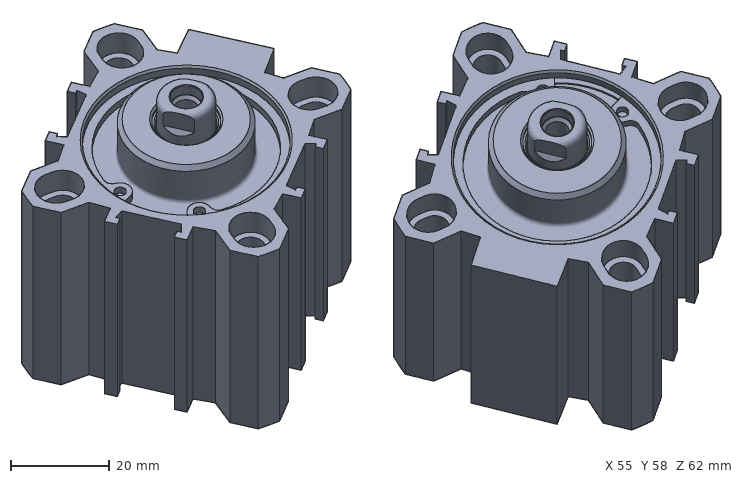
import cadquery as cq
import math

TOTAL_HEIGHT = 62.0
HOUSING_HEIGHT = 49.55

WIDTH = 55.0
DEPTH = 58.0
HALF_WIDTH = WIDTH / 2
POST_ROUND_DIA = 73.0
POST_FACE_INNER = 18.0
WALL_AT_POST = 23.0
WALL_AT_RIB = 23.3
POST_FOOT = POST_FACE_INNER - (HALF_WIDTH - WALL_AT_POST)
RIB_TIP = 27.3
RIB_OUTER_SIDE = 8.8
RIB_LIP = 6.1
RIB_LIP_ROOT = 25.5
RIB_NECK_AT_LIP = 6.95
RIB_NECK_AT_WALL = 6.3
PORT_BLOCK_FACE = DEPTH - HALF_WIDTH
PORT_BLOCK_HALF_TOP = 9.1
PORT_BLOCK_HALF_ROOT = 9.3

MOUNT_OFFSET = 20.5
MOUNT_STRETCH = 1.4
MOUNT_HOLE_DIA = 6.0
MOUNT_BORE_DIA = 8.8
MOUNT_BORE_DEPTH = 5.75

BORE_DIA = 42.2
BORE_CHAMFER = 0.45
FLANGE_DEPTH = 3.95
FLANGE_THICKNESS = 9.9
FLANGE_TOP = HOUSING_HEIGHT - FLANGE_DEPTH
SEAT_Z = FLANGE_TOP - FLANGE_THICKNESS

FLANGE_DIA = 41.7
COLLAR_DIA = 28.0
COLLAR_RISE = 6.0
COLLAR_CHAMFER = 1.0
COLLAR_FILLET = 0.85
COVER_BORE_DIA = 12.5
MOUTH_DIA = 14.0
MOUTH_DEPTH = 1.0
MOUTH_CHAMFER = 0.45
LIP_CHAMFER = 0.3
COLLAR_TOP = HOUSING_HEIGHT + COLLAR_RISE

RING_DIA = 44.7
RING_INNER_RADIUS = 19.15
RING_THICKNESS = 1.75
LUG_RADIUS = 2.5
LUG_HOLE_DIA = 2.5
LUG_CENTRE_RADIUS = 18.35
LUG_HALF_ANGLE = 27.7
LUG_BLEND = 2.0
RING_TURN = -1.8

ROD_DIA = 12.0
ROD_FILLET = 1.35
FLATS_WIDTH = 10.0
FLATS_LENGTH = 4.45
TAP_DIA = 4.9
TAP_DEPTH = 9.9
TAP_FLOOR_ANGLE = 170.0
RECESS_DIA = 6.6
STEP_DIA = 6.25
RECESS_DEPTH = 2.6
RECESS_CHAMFER = 0.2


def disc(diameter, bottom, height):
    return cq.Workplane("XY").workplane(offset=bottom).circle(diameter / 2).extrude(height)


def revolved(half_profile):
    """Turn a closed (radius, height) profile around the Z axis."""
    return cq.Workplane("XZ").polyline(half_profile).close().revolve(360, (0, 0, 0), (0, 1, 0))


def mirrored(points):
    """Add the mirror image across the vertical axis, keeping the point order."""
    return points + [(-x, y) for x, y in reversed(points)]


def ribbed_side():
    """Wall of the -Y side with its two hooked ribs, from -X to +X."""
    left_half = [
        (-POST_FOOT, -WALL_AT_POST),
        (-RIB_OUTER_SIDE, -WALL_AT_RIB),
        (-RIB_OUTER_SIDE, -RIB_TIP),
        (-RIB_LIP, -RIB_TIP),
        (-RIB_LIP, -RIB_LIP_ROOT),
        (-RIB_NECK_AT_LIP, -RIB_LIP_ROOT),
        (-RIB_NECK_AT_WALL, -WALL_AT_RIB),
    ]
    return mirrored(left_half)


def port_side():
    """Wall with the tapered port block, laid out on the -Y side like the ribbed walls."""
    left_half = [
        (-POST_FOOT, -WALL_AT_POST),
        (-PORT_BLOCK_HALF_ROOT, -WALL_AT_RIB),
        (-PORT_BLOCK_HALF_TOP, -PORT_BLOCK_FACE),
    ]
    return mirrored(left_half)


def corner_post():
    """Square post at the +X, -Y corner, counterclockwise."""
    return [
        (POST_FACE_INNER, -HALF_WIDTH),
        (HALF_WIDTH, -HALF_WIDTH),
        (HALF_WIDTH, -POST_FACE_INNER),
    ]


def quarter_turned(points, quarters):
    for _ in range(quarters):
        points = [(-y, x) for x, y in points]
    return points


def housing_outline():
    """Full outline, counterclockwise: -Y, +X, +Y (port block) and -X sides."""
    sides = [ribbed_side(), ribbed_side(), port_side(), ribbed_side()]
    outline = []
    for quarters, side in enumerate(sides):
        outline += quarter_turned(side + corner_post(), quarters)
    return outline


def mount_slot(x_sign, y_sign, diameter, bottom, height):
    direction = math.degrees(math.atan2(y_sign, x_sign))
    return (
        cq.Workplane("XY").workplane(offset=bottom)
        .center(x_sign * MOUNT_OFFSET, y_sign * MOUNT_OFFSET)
        .slot2D(diameter + MOUNT_STRETCH, diameter, direction)
        .extrude(height)
    )


def make_housing():
    housing = cq.Workplane("XY").polyline(housing_outline()).close().extrude(HOUSING_HEIGHT)
    housing = housing.intersect(disc(POST_ROUND_DIA, 0, HOUSING_HEIGHT))
    bore_bottom = HOUSING_HEIGHT - MOUNT_BORE_DEPTH
    for x_sign in (-1, 1):
        for y_sign in (-1, 1):
            housing = housing.cut(mount_slot(x_sign, y_sign, MOUNT_HOLE_DIA, 0, HOUSING_HEIGHT))
            housing = housing.cut(mount_slot(x_sign, y_sign, MOUNT_BORE_DIA, bore_bottom, MOUNT_BORE_DEPTH))
    return housing.cut(cover_seat())


def cover_seat():
    """Stepped bore for the cover, with the ring groove and a chamfered mouth."""
    bore = BORE_DIA / 2
    groove = RING_DIA / 2
    groove_top = FLANGE_TOP + RING_THICKNESS
    return revolved([
        (0, SEAT_Z),
        (bore, SEAT_Z),
        (bore, FLANGE_TOP),
        (groove, FLANGE_TOP),
        (groove, groove_top),
        (bore, groove_top),
        (bore, HOUSING_HEIGHT - BORE_CHAMFER),
        (bore + BORE_CHAMFER, HOUSING_HEIGHT),
        (0, HOUSING_HEIGHT),
    ])


def make_cover():
    """Turned cover with a chamfered collar and a fillet where the collar meets the flange."""
    flange = FLANGE_DIA / 2
    collar = COLLAR_DIA / 2
    fillet_centre = (collar + COLLAR_FILLET, FLANGE_TOP + COLLAR_FILLET)
    fillet_middle = COLLAR_FILLET * math.sqrt(0.5)
    half_section = (
        cq.Workplane("XZ")
        .moveTo(0, SEAT_Z)
        .lineTo(flange, SEAT_Z)
        .lineTo(flange, FLANGE_TOP)
        .lineTo(fillet_centre[0], FLANGE_TOP)
        .threePointArc(
            (fillet_centre[0] - fillet_middle, fillet_centre[1] - fillet_middle),
            (collar, fillet_centre[1]),
        )
        .lineTo(collar, COLLAR_TOP - COLLAR_CHAMFER)
        .lineTo(collar - COLLAR_CHAMFER, COLLAR_TOP)
        .lineTo(0, COLLAR_TOP)
        .close()
    )
    blank = half_section.revolve(360, (0, 0, 0), (0, 1, 0))
    return blank.cut(rod_passage())


def rod_passage():
    """Revolved bore: chamfered mouth, flat shoulder and rod bore with a chamfered lip."""
    bore = COVER_BORE_DIA / 2
    mouth = MOUTH_DIA / 2
    shoulder_z = COLLAR_TOP - MOUTH_DEPTH
    return revolved([
        (0, SEAT_Z),
        (bore, SEAT_Z),
        (bore, shoulder_z - LIP_CHAMFER),
        (bore + LIP_CHAMFER, shoulder_z),
        (mouth, shoulder_z),
        (mouth, COLLAR_TOP - MOUTH_CHAMFER),
        (mouth + MOUTH_CHAMFER, COLLAR_TOP),
        (0, COLLAR_TOP),
    ])


def polar(radius, degrees):
    return (radius * math.cos(math.radians(degrees)), radius * math.sin(math.radians(degrees)))


def bottom_sector(half_angle):
    """Wedge from the Z axis, centred on -Y and reaching past the ring."""
    reach = 2 * RING_DIA
    corners = [(0, 0), polar(reach, -90 - half_angle), polar(reach, -90 + half_angle)]
    return cq.Workplane("XY").polyline(corners).close().extrude(RING_THICKNESS)


def ring_band(inner_radius):
    return disc(RING_DIA, 0, RING_THICKNESS).cut(disc(2 * inner_radius, 0, RING_THICKNESS))


def make_ring():
    """Open ring with a lug at each end; the gap ends are radial and tangent to the lugs."""
    gap_half_angle = LUG_HALF_ANGLE - math.degrees(math.asin(LUG_RADIUS / LUG_CENTRE_RADIUS))
    tangent_radius = math.sqrt(LUG_CENTRE_RADIUS**2 - LUG_RADIUS**2)
    lug_centres = [polar(LUG_CENTRE_RADIUS, -90 + side * LUG_HALF_ANGLE) for side in (-1, 1)]
    lugs = cq.Workplane("XY").pushPoints(lug_centres).circle(LUG_RADIUS).extrude(RING_THICKNESS)
    holes = cq.Workplane("XY").pushPoints(lug_centres).circle(LUG_HOLE_DIA / 2).extrude(RING_THICKNESS)
    lug_feet = ring_band(tangent_radius).intersect(bottom_sector(LUG_HALF_ANGLE))

    ring = ring_band(RING_INNER_RADIUS).union(lugs).union(lug_feet)
    ring = ring.cut(bottom_sector(gap_half_angle))
    ring = blend_lugs(ring).cut(holes)
    return ring.rotate((0, 0, 0), (0, 0, 1), RING_TURN).translate((0, 0, FLANGE_TOP))


def blend_lugs(ring):
    """Round the corner between each lug and the inner edge of the ring."""
    cosine = (LUG_CENTRE_RADIUS**2 + RING_INNER_RADIUS**2 - LUG_RADIUS**2) / (
        2 * LUG_CENTRE_RADIUS * RING_INNER_RADIUS
    )
    corner_angle = LUG_HALF_ANGLE + math.degrees(math.acos(cosine))
    for side in (-1, 1):
        corner = (*polar(RING_INNER_RADIUS, -90 + side * corner_angle), RING_THICKNESS / 2)
        ring = ring.edges("|Z").edges(cq.selectors.NearestToPointSelector(corner)).fillet(LUG_BLEND)
    return ring


def make_rod():
    """Rod with two wrench flats that run out along 45 degree slopes, and a stepped centre hole."""
    rod = disc(ROD_DIA, SEAT_Z, TOTAL_HEIGHT - SEAT_Z).faces(">Z").edges().fillet(ROD_FILLET)
    flat_bottom = TOTAL_HEIGHT - FLATS_LENGTH
    half_flats = FLATS_WIDTH / 2
    slope = ROD_DIA - half_flats
    for side in (-1, 1):
        flat = [
            (side * half_flats, TOTAL_HEIGHT),
            (side * half_flats, flat_bottom),
            (side * ROD_DIA, flat_bottom - slope),
            (side * ROD_DIA, TOTAL_HEIGHT),
        ]
        rod = rod.cut(cq.Workplane("YZ").polyline(flat).close().extrude(ROD_DIA, both=True))
    return rod.cut(rod_hole())


def rod_hole():
    """Turned hole: chamfer, recess, 45 degree step, core hole and shallow conical floor."""
    core = TAP_DIA / 2
    recess = RECESS_DIA / 2
    step = STEP_DIA / 2
    top = TOTAL_HEIGHT
    cone_height = core / math.tan(math.radians(TAP_FLOOR_ANGLE / 2))
    return revolved([
        (0, top),
        (recess + RECESS_CHAMFER, top),
        (recess, top - RECESS_CHAMFER),
        (recess, top - RECESS_DEPTH),
        (step, top - RECESS_DEPTH),
        (core, top - RECESS_DEPTH - (step - core)),
        (core, top - TAP_DEPTH),
        (0, top - TAP_DEPTH - cone_height),
    ])


housing = make_housing()
cover = make_cover()
ring = make_ring()
rod = make_rod()

result = cq.Compound.makeCompound([housing.val(), cover.val(), ring.val(), rod.val()])